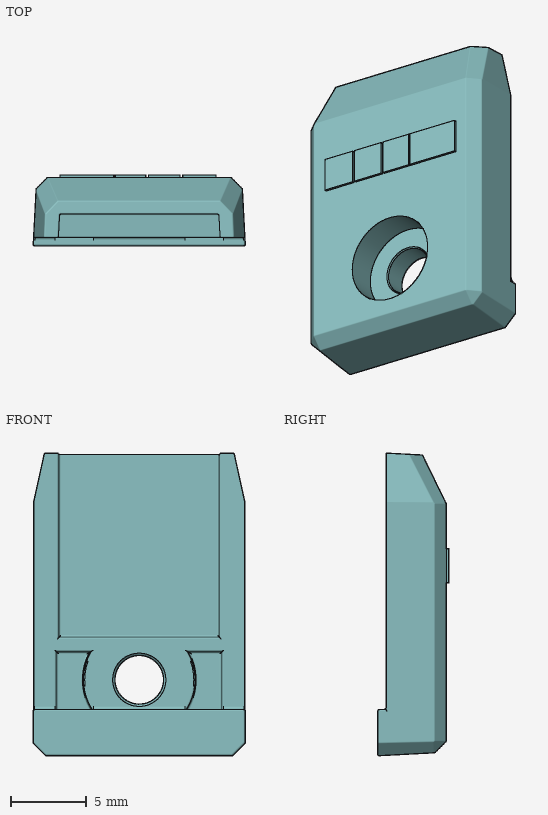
import cadquery as cq
import math

WIDTH = 14.0
HEIGHT = 19.96
DEPTH = 4.7
PAD_HEIGHT = 0.15
BODY_DEPTH = DEPTH - PAD_HEIGHT
DRAFT = 3.0
DRAFT_SLOPE = math.tan(math.radians(DRAFT))

BOTTOM_CORNER = 0.84
TAPER_WIDTH = 0.72
TAPER_HEIGHT = 3.27

LIP_HEIGHT = 3.05
FACE_Y = 0.55
STEP_FILLET = 0.18

BEVEL = 0.75
TOP_SLOPE_RUN = 1.64
TOP_SLOPE_HEIGHT = 3.35
EDGE_FILLET = 0.12
FACE_FILLET = 0.05

FLOOR_Y = 2.1
RECESS_FILLET = 0.1
RIM_FILLET = 0.08
MAIN_HALF_WIDTH = 5.33
MAIN_BOTTOM = 7.76
SIDE_HALF_WIDTH = 5.49
SIDE_TOP = 6.89
BOSS_RADIUS = 3.67

HOLE_Z = 5.0
HOLE_RADIUS = 1.6
HOLE_CHAMFER = 0.15
SEAT_Y = 2.4
SEAT_CHAMFER = 0.08
COUNTERBORE_RADIUS = 3.0

PAD_SPANS = [(-5.23, -1.68), (-1.6, 0.44), (0.6, 2.7), (2.85, 5.07)]
PAD_BOTTOM = 11.4
PAD_TOP = 13.65

BIG = 3 * HEIGHT
NEAR = 0.002


def front_plane(y):
    """Sketch plane with local X = X, local Y = Z, extruding toward +Y for negative distances."""
    return cq.Workplane("XZ", origin=(0, y, 0))


def half_space(point, normal):
    """Large block filling the side of a plane that its normal points to."""
    plane = cq.Plane(origin=point, normal=normal)
    return cq.Workplane(plane).rect(BIG, BIG).extrude(BIG)


def mirrored_cut(body, point, normal):
    """Trim the body with a plane and with its mirror image across X = 0."""
    tool = half_space(point, normal)
    return body.cut(tool).cut(tool.mirror("YZ"))


def tapered_outline():
    rim_draft = EDGE_FILLET * DRAFT_SLOPE
    half = WIDTH / 2 + rim_draft
    bottom = -rim_draft
    top = HEIGHT + FACE_Y * DRAFT_SLOPE
    points = [
        (half - BOTTOM_CORNER, bottom),
        (half, bottom + BOTTOM_CORNER),
        (half, top - TAPER_HEIGHT),
        (half - TAPER_WIDTH, top),
    ]
    points += [(-x, z) for x, z in reversed(points)]
    return front_plane(0).polyline(points).close().extrude(-BODY_DEPTH, taper=DRAFT)


def beveled_body():
    body = tapered_outline()
    inset = (BODY_DEPTH - BEVEL) * DRAFT_SLOPE
    back_half = WIDTH / 2 - inset - BEVEL
    back_bottom = inset + BEVEL
    slope_start = HEIGHT - TOP_SLOPE_HEIGHT

    body = body.cut(half_space((0, BODY_DEPTH, back_bottom), (0, 1, -1)))
    body = body.cut(half_space((0, BODY_DEPTH, slope_start), (0, TOP_SLOPE_HEIGHT, TOP_SLOPE_RUN)))
    back_corner = cq.Vector(back_half, BODY_DEPTH, back_bottom)
    body = mirrored_cut(body, back_corner, (1, 1, 0))

    to_side = cq.Vector(BEVEL, -BEVEL, 0)
    to_bottom = cq.Vector(0, -BEVEL, -BEVEL)
    body = mirrored_cut(body, back_corner, to_side.cross(to_bottom))

    slope_corner = cq.Vector(back_half, BODY_DEPTH, slope_start)
    up_slope = cq.Vector(-TAPER_WIDTH, -TOP_SLOPE_RUN, TOP_SLOPE_HEIGHT)
    body = mirrored_cut(body, slope_corner, up_slope.cross(to_side))
    return body


def add_step(body):
    step = cq.Workplane("XY").box(BIG, FACE_Y, BIG, centered=(True, False, False))
    step = step.translate((0, 0, LIP_HEIGHT))
    return body.cut(step)


def tapered_recess(plan, front_y=FACE_Y):
    """Recess tool that narrows with the draft angle toward its rounded floor."""
    tool = plan.extrude(front_y - FLOOR_Y, taper=DRAFT)
    return tool.faces(">Y").edges().fillet(RECESS_FILLET)


def main_recess():
    plan = front_plane(FACE_Y).center(0, MAIN_BOTTOM)
    plan = plan.rect(2 * MAIN_HALF_WIDTH, HEIGHT, centered=(True, False))
    return tapered_recess(plan)


def side_recess():
    """Pocket on the +X side, bounded inward by the round boss about the hole."""
    plan = front_plane(FACE_Y).center(0, SIDE_TOP)
    plan = plan.rect(2 * SIDE_HALF_WIDTH, -2 * SIDE_TOP, centered=(True, False))
    pocket = plan.extrude(FACE_Y - FLOOR_Y, taper=DRAFT)
    boss = front_plane(FACE_Y).center(0, HOLE_Z).circle(BOSS_RADIUS)
    boss = boss.extrude(FACE_Y - FLOOR_Y, taper=-DRAFT)
    pocket = pocket.cut(boss).cut(half_space((0, 0, 0), (-1, 0, 0)))
    pocket = pocket.cut(half_space((0, 0, LIP_HEIGHT), (0, 0, -1)))
    above_lip = cq.selectors.BoxSelector((0, 0, LIP_HEIGHT + NEAR), (BIG, BIG, BIG))
    return pocket.faces(">Y").edges(above_lip).fillet(RECESS_FILLET)


def screw_hole():
    """Bore with a chamfer at both ends, opening into a counterbore from the back."""
    mouth_radius = HOLE_RADIUS + HOLE_CHAMFER
    seat_radius = HOLE_RADIUS + SEAT_CHAMFER
    profile = [
        (0, FACE_Y),
        (mouth_radius, FACE_Y),
        (HOLE_RADIUS, FACE_Y + HOLE_CHAMFER),
        (HOLE_RADIUS, SEAT_Y - SEAT_CHAMFER),
        (seat_radius, SEAT_Y),
        (COUNTERBORE_RADIUS, SEAT_Y),
        (COUNTERBORE_RADIUS, BODY_DEPTH),
        (0, BODY_DEPTH),
    ]
    hole = cq.Workplane("XY").polyline(profile).close().revolve(360, (0, 0, 0), (0, 1, 0))
    return hole.translate((0, 0, HOLE_Z))


def back_pad(left, right):
    size = (right - left, PAD_HEIGHT, PAD_TOP - PAD_BOTTOM)
    pad = cq.Workplane("XY").box(*size, centered=False)
    return pad.translate((left, BODY_DEPTH, PAD_BOTTOM))


def step_fillet(start, length):
    """Concave fillet along the foot of the front face, running toward +X."""
    foot = LIP_HEIGHT + STEP_FILLET
    inner_y = FACE_Y - STEP_FILLET
    reach = STEP_FILLET * math.sqrt(0.5)
    profile = (
        cq.Workplane("YZ", origin=(start, 0, 0))
        .moveTo(FACE_Y, LIP_HEIGHT)
        .lineTo(inner_y, LIP_HEIGHT)
        .threePointArc((inner_y + reach, foot - reach), (FACE_Y, foot))
        .close()
    )
    return profile.extrude(length)


def front_face_edges(part, half_width, low, high):
    """Edges in the front face whose centers lie inside the given range of X and Z."""
    corner = (-half_width, FACE_Y - NEAR, low)
    opposite = (half_width, FACE_Y + NEAR, high)
    return part.edges(cq.selectors.BoxSelector(corner, opposite))


body = beveled_body().edges().fillet(EDGE_FILLET)
result = add_step(body)
lip_edge = cq.selectors.NearestToPointSelector((0, 0, LIP_HEIGHT))
result = result.edges(lip_edge).fillet(EDGE_FILLET)
result = front_face_edges(result, WIDTH, LIP_HEIGHT + NEAR, BIG).fillet(FACE_FILLET)

main_rim = (MAIN_HALF_WIDTH + NEAR, MAIN_BOTTOM - NEAR, HEIGHT - TAPER_HEIGHT)
result = result.cut(main_recess())
result = front_face_edges(result, *main_rim).fillet(RIM_FILLET)

side_rim = (SIDE_HALF_WIDTH + NEAR, LIP_HEIGHT + NEAR, SIDE_TOP + NEAR)
right_recess = side_recess()
result = result.cut(right_recess).cut(right_recess.mirror("YZ"))
result = front_face_edges(result, *side_rim).fillet(RIM_FILLET)

result = result.cut(screw_hole())

boss_end = math.sqrt((BOSS_RADIUS - RIM_FILLET) ** 2 - (HOLE_Z - LIP_HEIGHT) ** 2)
right_fillet = step_fillet(SIDE_HALF_WIDTH + RIM_FILLET, WIDTH).intersect(body)
result = result.union(step_fillet(-boss_end, 2 * boss_end))
result = result.union(right_fillet).union(right_fillet.mirror("YZ"))

for left, right in PAD_SPANS:
    result = result.union(back_pad(left, right))